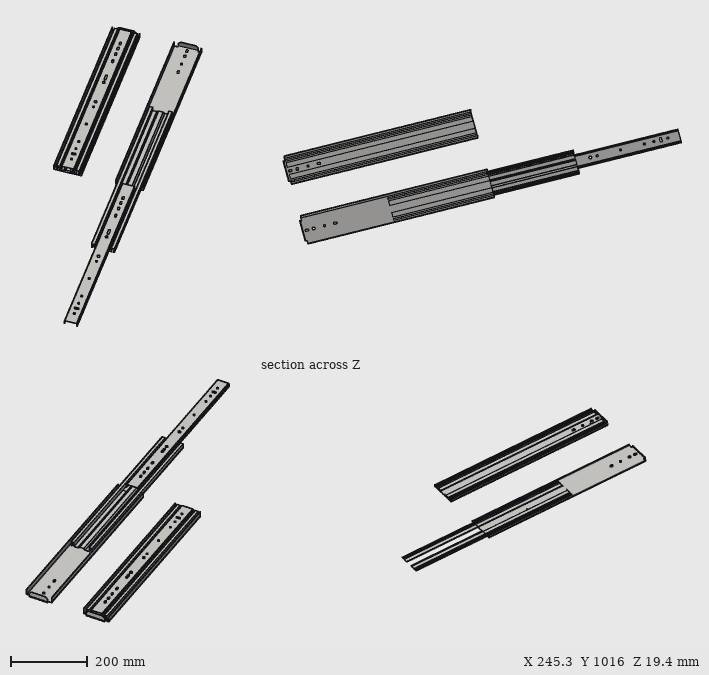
import cadquery as cq

overall_width = 245.34
overall_height = 19.42
slide_length = 508.0
slide_width = 76.2
slide_center = (overall_width - slide_width) / 2

outer_sheet = 2.0
outer_height = 17.0
outer_bend = 2.0
outer_wall_length = 503.0
tab_width = 55.0
tab_corner = 7.0

middle_sheet = 1.4
middle_length = 500.0
middle_width = 63.3
middle_bottom = 2.6
middle_top = 17.0
race_wall_inside = 21.6
race_lip_inside = 27.5
rib_height = 5.0
rib_foot_width = 23.0
rib_top_width = 14.2

inner_sheet = 2.0
inner_length = 500.0
inner_width = 36.0
inner_bottom = 8.0
inner_corner = 2.5

closed_front = 1.5
middle_extended_front = -230.0
inner_extended_front = -slide_length

small_hole = 5.2
large_hole = 7.1
slot_length = 9.2
long_slot_length = 16.8
cross_slot_length = 12.2

inner_small_holes = [31.5, 69.0, 95.0, 159.0, 222.0]
inner_large_holes = [240.3, 310.6]
inner_slots = [388.0, 414.0, 434.0, 452.0]
inner_long_slots = [328.9]
inner_cross_slots = [50.3]

outer_small_holes = [448.3]
outer_large_holes = [477.4]
outer_slots = [419.2, 495.7]

ALONG_X = 0
ALONG_Y = 90


def extrude_profile(half_profile, length):
    """Mirror half a cross-section (x, z points) about x = 0 and extrude it from Y = 0 toward +Y."""
    mirrored = [(-x, z) for x, z in reversed(half_profile)]
    return cq.Workplane("XZ").polyline(half_profile + mirrored).close().extrude(-length)


def hole_points(distances):
    return [(0, distance) for distance in distances]


def cut_round_holes(body, distances, diameter):
    drills = cq.Workplane("XY").pushPoints(hole_points(distances)).circle(diameter / 2)
    return body.cut(drills.extrude(overall_height))


def cut_slots(body, distances, length, direction):
    drills = cq.Workplane("XY").pushPoints(hole_points(distances)).slot2D(length, small_hole, direction)
    return body.cut(drills.extrude(overall_height))


def make_stop_tab():
    """Narrower rear extension of the floor, ending in an upright tab with cut corners."""
    neck_length = slide_length - outer_wall_length
    floor = (
        cq.Workplane("XY")
        .box(tab_width, neck_length, outer_sheet, centered=(True, False, False))
        .translate((0, outer_wall_length, 0))
    )
    upright = (
        cq.Workplane("XY")
        .box(tab_width, outer_sheet, outer_height, centered=(True, False, False))
        .translate((0, slide_length - outer_sheet, 0))
        .edges("|Y and >Z")
        .chamfer(tab_corner)
    )
    return floor.union(upright)


def make_outer_member():
    wall_outside = slide_width / 2
    wall_inside = wall_outside - outer_sheet
    channel = extrude_profile(
        [
            (wall_outside, 0),
            (wall_outside, outer_height),
            (wall_inside, outer_height),
            (wall_inside, outer_sheet),
        ],
        outer_wall_length,
    )
    channel = channel.edges("|Y and <Z").fillet(outer_bend)
    member = channel.union(make_stop_tab())
    member = cut_round_holes(member, outer_small_holes, small_hole)
    member = cut_round_holes(member, outer_large_holes, large_hole)
    return cut_slots(member, outer_slots, slot_length, ALONG_Y)


def make_middle_member():
    lip_outside = middle_width / 2
    lip_inside = lip_outside - middle_sheet
    race_wall_outside = race_wall_inside + middle_sheet
    web_top = middle_bottom + middle_sheet
    rib_top = middle_bottom + rib_height
    race_roof = middle_top - middle_sheet
    return extrude_profile(
        [
            (rib_top_width / 2, rib_top),
            (rib_foot_width / 2, web_top),
            (race_wall_inside, web_top),
            (race_wall_inside, middle_top),
            (lip_outside, middle_top),
            (lip_outside, middle_bottom),
            (race_lip_inside, middle_bottom),
            (race_lip_inside, web_top),
            (lip_inside, web_top),
            (lip_inside, race_roof),
            (race_wall_outside, race_roof),
            (race_wall_outside, middle_bottom),
            (rib_foot_width / 2 - middle_sheet, middle_bottom),
            (rib_top_width / 2 - middle_sheet, rib_top - middle_sheet),
        ],
        middle_length,
    )


def make_inner_member():
    leg_outside = inner_width / 2
    leg_inside = leg_outside - inner_sheet
    channel = extrude_profile(
        [
            (leg_outside, overall_height),
            (leg_outside, inner_bottom),
            (leg_inside, inner_bottom),
            (leg_inside, overall_height - inner_sheet),
        ],
        inner_length,
    )
    member = channel.edges("|Y and >Z").chamfer(inner_corner)
    member = cut_round_holes(member, inner_small_holes, small_hole)
    member = cut_round_holes(member, inner_large_holes, large_hole)
    member = cut_slots(member, inner_slots, slot_length, ALONG_Y)
    member = cut_slots(member, inner_long_slots, long_slot_length, ALONG_Y)
    return cut_slots(member, inner_cross_slots, cross_slot_length, ALONG_X)


def place_slide(center_x, middle_front, inner_front):
    """The three separate members of one slide, at the given opening."""
    outer_member = make_outer_member().translate((center_x, 0, 0))
    middle_member = make_middle_member().translate((center_x, middle_front, 0))
    inner_member = make_inner_member().translate((center_x, inner_front, 0))
    return [outer_member.val(), middle_member.val(), inner_member.val()]


closed_slide = place_slide(-slide_center, closed_front, closed_front)
extended_slide = place_slide(slide_center, middle_extended_front, inner_extended_front)

result = cq.Compound.makeCompound([*closed_slide, *extended_slide])